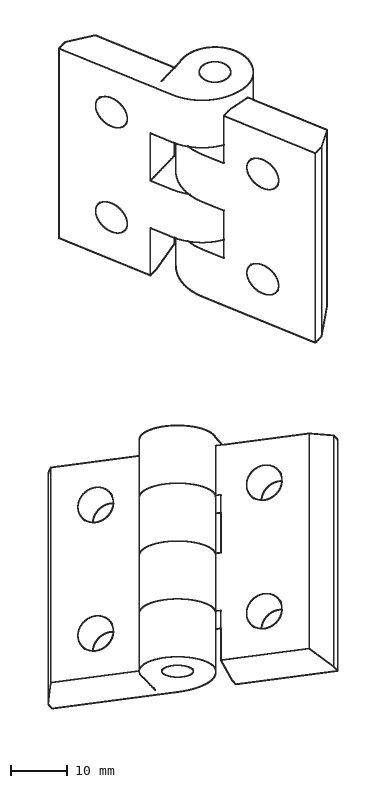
import cadquery as cq
import math

WIDTH = 53.35
HEIGHT = 44.0
DEPTH = 16.0

PLATE_THICKNESS = 8.0
RIM_THICKNESS = 2.1
SIDE_BEVEL = 2.55
END_BEVEL = 1.55
PLATE_INNER_X = 7.65

KNUCKLE_COUNT = 4
BARREL_RADIUS = 6.8
BLEND_START = 3.1
BORE_DIAMETER = 5.55
KNUCKLE_HEIGHT = HEIGHT / KNUCKLE_COUNT
AXIS_Y = DEPTH - BARREL_RADIUS
WALL_X = math.sqrt(BARREL_RADIUS**2 - (AXIS_Y - PLATE_THICKNESS) ** 2)

SCREW_DIAMETER = 6.6
SCREW_X = 15.75
SCREW_SPACING = 24.45


def make_plate():
    """Left plate with three bevelled edges behind its straight rim."""
    length = WIDTH / 2 - WALL_X
    bevel_depth = PLATE_THICKNESS - RIM_THICKNESS
    center_x = -(WIDTH / 2 + WALL_X) / 2
    plate = cq.Workplane("XY").box(length, PLATE_THICKNESS, HEIGHT).translate(
        (center_x, PLATE_THICKNESS / 2, 0)
    )
    plate = plate.faces("<X").edges(">Y").chamfer(bevel_depth, SIDE_BEVEL)
    end_wedge = (
        cq.Workplane("YZ", origin=(-WIDTH / 2, 0, 0))
        .moveTo(RIM_THICKNESS, HEIGHT / 2)
        .lineTo(PLATE_THICKNESS, HEIGHT / 2)
        .lineTo(PLATE_THICKNESS, HEIGHT / 2 - END_BEVEL)
        .close()
        .extrude(length)
    )
    return plate.cut(end_wedge).cut(end_wedge.mirror("XY"))


def make_notch(bottom_z):
    """Cutter that trims the plate back for clearance around a knuckle of the other leaf."""
    return (
        cq.Workplane("XY", origin=(0, 0, bottom_z))
        .moveTo(-PLATE_INNER_X, 0)
        .lineTo(-WALL_X, 0)
        .lineTo(-WALL_X, PLATE_THICKNESS)
        .lineTo(-PLATE_INNER_X, PLATE_THICKNESS)
        .close()
        .extrude(KNUCKLE_HEIGHT)
    )


def make_knuckle(bottom_z):
    """Barrel with a large arc running from its far side into the front face."""
    run = BARREL_RADIUS + BLEND_START
    blend_radius = (run**2 + AXIS_Y**2) / (2 * AXIS_Y)
    middle_angle = math.atan2(AXIS_Y, run)
    blend_middle = (
        -BLEND_START + blend_radius * math.sin(middle_angle),
        blend_radius * (1 - math.cos(middle_angle)),
    )
    return (
        cq.Workplane("XY", origin=(0, 0, bottom_z))
        .moveTo(-WALL_X, 0)
        .lineTo(-BLEND_START, 0)
        .threePointArc(blend_middle, (BARREL_RADIUS, AXIS_Y))
        .threePointArc((0, DEPTH), (-WALL_X, PLATE_THICKNESS))
        .close()
        .moveTo(0, AXIS_Y)
        .circle(BORE_DIAMETER / 2)
        .extrude(KNUCKLE_HEIGHT)
    )


def make_screw_holes():
    """Through holes, one above the other, along Y."""
    return (
        cq.Workplane("XZ")
        .pushPoints([(-SCREW_X, side * SCREW_SPACING / 2) for side in (-1, 1)])
        .circle(SCREW_DIAMETER / 2)
        .extrude(-PLATE_THICKNESS)
    )


def make_leaf():
    """Left leaf: plate with the first and third knuckles from the top."""
    leaf = make_plate()
    for index in range(KNUCKLE_COUNT):
        bottom_z = HEIGHT / 2 - (index + 1) * KNUCKLE_HEIGHT
        if index % 2 == 0:
            leaf = leaf.union(make_knuckle(bottom_z))
        else:
            leaf = leaf.cut(make_notch(bottom_z))
    return leaf.cut(make_screw_holes())


leaves = [make_leaf().rotate((0, 0, 0), (0, 1, 0), turn) for turn in (0, 180)]

result = cq.Compound.makeCompound([leaf.solids().val() for leaf in leaves])